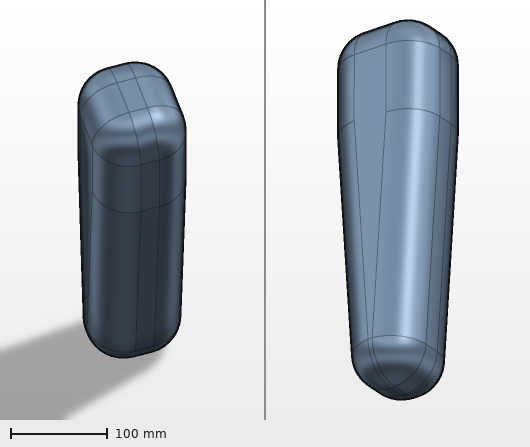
import cadquery as cq

height = 420.0
width = 120.0
depth = 100.0
bottom_width = 80.0
straight_height = 120.0
edge_radius = 40.0

shoulder_z = height / 2 - straight_height
selection_margin = 0.5

outline = [
    (-width / 2, height / 2),
    (width / 2, height / 2),
    (width / 2, shoulder_z),
    (bottom_width / 2, -height / 2),
    (-bottom_width / 2, -height / 2),
    (-width / 2, shoulder_z),
]
body = cq.Workplane("XZ").polyline(outline).close().extrude(depth / 2, both=True)

shoulder_edges = cq.selectors.BoxSelector(
    (-width, -depth, shoulder_z - selection_margin),
    (width, depth, shoulder_z + selection_margin),
)
result = body.edges(cq.selectors.InverseSelector(shoulder_edges)).fillet(edge_radius)